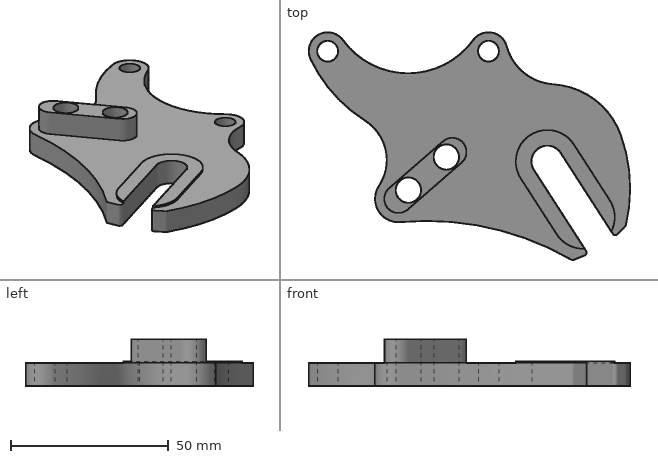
import cadquery as cq
import math

plate_thickness = 7.3
boss_height = 7.5
slot_pad_height = 0.6

ear_radius = 6.0
ear_hole_radius = 3.3
left_ear = (0, 0)
right_ear = (51, 0)

heel_center = (22.4, -46.8)
heel_radius = 7.4

boss_radius = 4.5
boss_length = 22.6
boss_angle = 41
boss_hole_radius = 4.0
boss_hole_places = [(3.2, 2.8), (15.2, 13.3)]

slot_center = (69.6, -35.0)
slot_angle = -57.2
slot_radius = 5.0
slot_pad_radius = 10.0
slot_pad_length = 21.0
slot_mouth_distance = 31.7
slot_cut_length = 51

top_radius = 25.5
neck_radius = 16.2
back_center = (69.9, -34.9)
back_radius = 24.5
flank_center = (46.1, -43.5)
front_center = (36.9, 17.6)
waist_radius = 14.8
belly_radius = 91.5
belly_center_x = 31.4

lower_tip_x = 77.6
upper_tip_y = -55.3
tip_fillet = 1.0


def polar(center, radius, angle):
    """Point at an angle in radians around a centre."""
    return (center[0] + radius * math.cos(angle), center[1] + radius * math.sin(angle))


def direction(start, end):
    return math.atan2(end[1] - start[1], end[0] - start[0])


def toward(start, end, distance):
    """Point at a distance from start along the line to end."""
    return polar(start, distance, direction(start, end))


def third_corner(first, first_distance, second, second_distance):
    """Point at given distances from two points, left of the line from first to second."""
    base = math.dist(first, second)
    cosine = (first_distance**2 + base**2 - second_distance**2) / (2 * first_distance * base)
    return polar(first, first_distance, direction(first, second) + math.acos(cosine))


def add_arc(outline, center, radius, start, end):
    """Continue an outline along the shorter arc from start to end."""
    chord_middle = ((start[0] + end[0]) / 2, (start[1] + end[1]) / 2)
    return outline.threePointArc(toward(center, chord_middle, radius), end)


def bar(center, radius, length, angle, bottom, height):
    """Round-ended bar whose first end is centred at center."""
    middle = polar(center, length / 2, math.radians(angle))
    return (
        cq.Workplane("XY", origin=(0, 0, bottom))
        .center(*middle)
        .slot2D(length + 2 * radius, 2 * radius, angle)
        .extrude(height)
    )


flank_radius = back_radius + math.dist(back_center, flank_center)
front_radius = ear_radius + math.dist(left_ear, front_center)
top_center = third_corner(left_ear, ear_radius + top_radius, right_ear, ear_radius + top_radius)
neck_center = third_corner(
    right_ear, ear_radius + neck_radius, back_center, back_radius + neck_radius
)
waist_center = third_corner(
    heel_center, heel_radius + waist_radius, front_center, front_radius + waist_radius
)

slot_direction = math.radians(slot_angle)
mouth_center = polar(slot_center, slot_mouth_distance, slot_direction)
lower_mouth = polar(mouth_center, slot_radius, slot_direction - math.pi / 2)
upper_mouth = polar(mouth_center, slot_radius, slot_direction + math.pi / 2)
belly_rise = math.sqrt((heel_radius + belly_radius)**2 - (belly_center_x - heel_center[0])**2)
belly_center = (belly_center_x, heel_center[1] - belly_rise)
lower_tip = (
    lower_tip_x,
    belly_center[1] + math.sqrt(belly_radius**2 - (lower_tip_x - belly_center[0])**2),
)
upper_tip = (
    flank_center[0] + math.sqrt(flank_radius**2 - (upper_tip_y - flank_center[1])**2),
    upper_tip_y,
)


def make_plate():
    left_ear_top = toward(left_ear, top_center, ear_radius)
    right_ear_top = toward(right_ear, top_center, ear_radius)
    neck_start = toward(right_ear, neck_center, ear_radius)
    neck_end = toward(back_center, neck_center, back_radius)
    flank_start = toward(flank_center, back_center, flank_radius)
    belly_end = toward(heel_center, belly_center, heel_radius)
    heel_end = toward(heel_center, waist_center, heel_radius)
    waist_end = toward(front_center, waist_center, front_radius)
    front_end = toward(front_center, left_ear, front_radius)

    outline = cq.Workplane("XY").moveTo(*left_ear_top)
    outline = add_arc(outline, top_center, top_radius, left_ear_top, right_ear_top)
    outline = add_arc(outline, right_ear, ear_radius, right_ear_top, neck_start)
    outline = add_arc(outline, neck_center, neck_radius, neck_start, neck_end)
    outline = add_arc(outline, back_center, back_radius, neck_end, flank_start)
    outline = add_arc(outline, flank_center, flank_radius, flank_start, upper_tip)
    outline = outline.lineTo(*upper_mouth).lineTo(*lower_mouth).lineTo(*lower_tip)
    outline = add_arc(outline, belly_center, belly_radius, lower_tip, belly_end)
    outline = add_arc(outline, heel_center, heel_radius, belly_end, heel_end)
    outline = add_arc(outline, waist_center, waist_radius, heel_end, waist_end)
    outline = add_arc(outline, front_center, front_radius, waist_end, front_end)
    left_ear_middle = polar(left_ear, ear_radius, math.radians(125))
    outline = outline.threePointArc(left_ear_middle, left_ear_top)
    return outline.close().extrude(plate_thickness)


def drill(body, places, radius, depth):
    return body.cut(cq.Workplane("XY").pushPoints(places).circle(radius).extrude(depth))


def round_tips(body):
    """Round the upright edges at the four jaw tip corners."""
    for corner in (lower_tip, lower_mouth, upper_mouth, upper_tip):
        middle = (corner[0], corner[1], plate_thickness / 2)
        edge = body.edges("|Z").edges(cq.selectors.NearestToPointSelector(middle))
        body = edge.fillet(tip_fillet)
    return body


slot_cut = bar(
    slot_center, slot_radius, slot_cut_length, slot_angle, 0, plate_thickness + slot_pad_height
)
slot_pad = bar(
    slot_center, slot_pad_radius, slot_pad_length, slot_angle, plate_thickness, slot_pad_height
)
boss = bar(heel_center, boss_radius, boss_length, boss_angle, plate_thickness, boss_height)
boss_holes = [(heel_center[0] + x, heel_center[1] + y) for x, y in boss_hole_places]

plate = round_tips(make_plate().cut(slot_cut))
result = plate.union(slot_pad.cut(slot_cut)).union(boss)
result = drill(result, [left_ear, right_ear], ear_hole_radius, plate_thickness)
result = drill(result, boss_holes, boss_hole_radius, plate_thickness + boss_height)